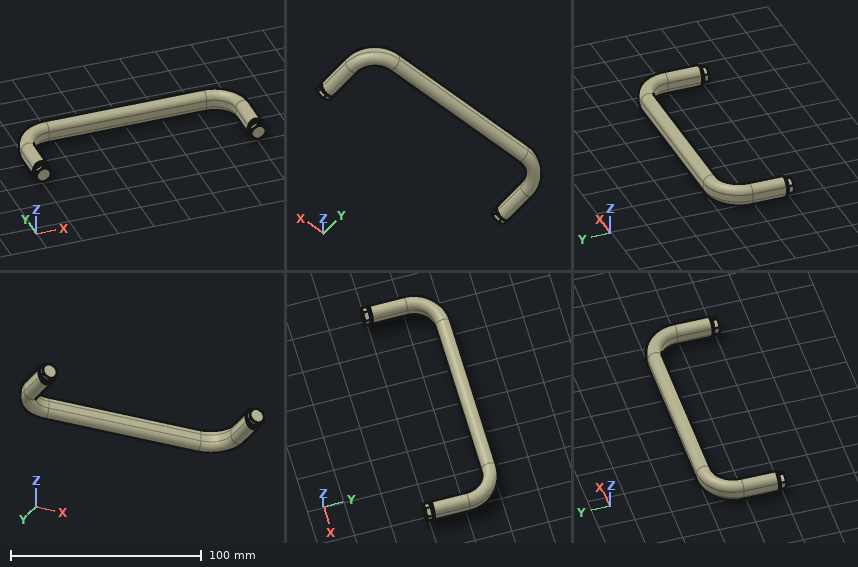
import cadquery as cq
import math

overall_length = 129.5
overall_depth = 43.3

bar_width = 8.0
bar_height = 12.0
outer_bend_radius = 20.0

collar_diameter = 9.5
collar_thickness = 1.0
hex_across_flats = 8.0
hex_length = 3.1
tip_face_diameter = 7.9
tip_chamfer_angle = 30.0

leg_x = (overall_length - collar_diameter) / 2
hex_corner_diameter = hex_across_flats / math.cos(math.radians(30))
leg_end_y = collar_thickness + hex_length
grip_y = overall_depth - bar_width / 2
bend_radius = outer_bend_radius - bar_width / 2
bend_start_y = grip_y - bend_radius
bend_end_x = leg_x - bend_radius
bend_mid_offset = bend_radius * math.sin(math.radians(45))


def make_bar():
    """Sweep the oval section along the U-shaped centre line."""
    path = (
        cq.Workplane("XY")
        .moveTo(-leg_x, leg_end_y)
        .lineTo(-leg_x, bend_start_y)
        .threePointArc(
            (-bend_end_x - bend_mid_offset, bend_start_y + bend_mid_offset),
            (-bend_end_x, grip_y),
        )
        .lineTo(bend_end_x, grip_y)
        .threePointArc(
            (bend_end_x + bend_mid_offset, bend_start_y + bend_mid_offset),
            (leg_x, bend_start_y),
        )
        .lineTo(leg_x, leg_end_y)
    )
    section = cq.Workplane("XZ", origin=(-leg_x, leg_end_y, 0)).slot2D(bar_height, bar_width, 90)
    return section.sweep(path)


def make_chamfer_cone():
    """Return the turned body, along Y, that rounds off the corners of a hexagonal tip."""
    face_radius = tip_face_diameter / 2
    corner_radius = hex_corner_diameter / 2
    chamfer_depth = (corner_radius - face_radius) * math.tan(math.radians(tip_chamfer_angle))
    return (
        cq.Workplane("XY")
        .lineTo(face_radius, 0)
        .lineTo(corner_radius, chamfer_depth)
        .lineTo(corner_radius, hex_length)
        .lineTo(0, hex_length)
        .close()
        .revolve(360, (0, 0, 0), (0, 1, 0))
    )


def make_leg_end():
    """Return one collar and hexagonal tip, with the tip face at Y = 0."""
    collar = (
        cq.Workplane("XZ", origin=(0, leg_end_y, 0))
        .circle(collar_diameter / 2)
        .extrude(collar_thickness)
    )
    hexagon = (
        cq.Workplane("XZ", origin=(0, hex_length, 0))
        .transformed(rotate=(0, 0, 90))
        .polygon(6, hex_corner_diameter)
        .extrude(hex_length)
    )
    return collar.union(hexagon.intersect(make_chamfer_cone()))


result = make_bar()
for side in (-1, 1):
    result = result.union(make_leg_end().translate((side * leg_x, 0, 0)))